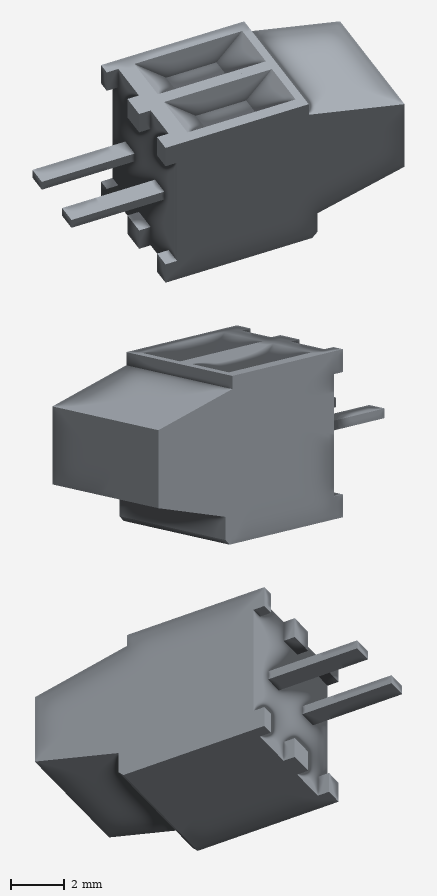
import cadquery as cq

total_width = 5.53
total_length = 13.4
total_height = 6.5
pole_pitch = 2.55
plate_thickness = 0.24

pin_length = 3.89
foot_depth = 0.48
foot_height = 0.88
nose_top_length = 4.0
nose_base_length = 3.65
top_shoulder_drop = 0.51
nose_tip_drop = 1.41
base_shoulder_rise = 1.11
nose_tip_rise = 2.08
base_chamfer = 0.21

outer_foot_width = 0.5
inner_foot_width = 0.28
slim_foot_width = plate_thickness
pad_width = plate_thickness

pocket_width = 2.02
pocket_length = 4.52
pocket_floor_width = 1.5
pocket_floor_length = 2.1
pocket_depth = 0.9
pocket_nose_gap = 4.33

pin_width = 0.8
pin_thickness = 0.38
first_pole_x = 1.5

pin_face_y = pin_length
foot_face_y = pin_face_y - foot_depth
pocket_center_y = total_length - pocket_nose_gap - pocket_length / 2
pole_centers = [first_pole_x, first_pole_x + pole_pitch]
wall_start = pole_pitch
second_housing_start = wall_start + plate_thickness
end_plate_start = total_width - plate_thickness


def profile_slab(x_start, x_end):
    """Slab with the full side profile, with a foot at the top and bottom of the pin end."""
    top_shoulder_y = total_length - nose_top_length
    base_shoulder_y = total_length - nose_base_length
    foot_top_z = total_height - foot_height
    profile = [
        (foot_face_y, 0),
        (base_shoulder_y - base_chamfer, 0),
        (base_shoulder_y, base_chamfer),
        (base_shoulder_y, base_shoulder_rise),
        (total_length, nose_tip_rise),
        (total_length, total_height - nose_tip_drop),
        (top_shoulder_y, total_height - top_shoulder_drop),
        (top_shoulder_y, total_height),
        (foot_face_y, total_height),
        (foot_face_y, foot_top_z),
        (pin_face_y, foot_top_z),
        (pin_face_y, foot_height),
        (foot_face_y, foot_height),
    ]
    return (
        cq.Workplane("YZ", origin=(x_start, 0, 0))
        .polyline(profile)
        .close()
        .extrude(x_end - x_start)
    )


def screw_pocket(center_x):
    """Tapered pocket volume, widest at the top face."""
    return (
        cq.Workplane("XY", origin=(center_x, pocket_center_y, total_height))
        .rect(pocket_width, pocket_length)
        .workplane(offset=-pocket_depth)
        .rect(pocket_floor_width, pocket_floor_length)
        .loft(ruled=True)
    )


def foot_gap(x_start, x_end):
    """Space between the left and right feet, over the full height."""
    return cq.Workplane("XY").box(
        x_end - x_start, foot_depth, total_height, centered=False
    ).translate((x_start, foot_face_y, 0))


def make_housing(x_start, x_end, left_foot_width, right_foot_width, pole_x):
    """Housing of one pole: profile slab with four feet and a screw pocket."""
    gap = foot_gap(x_start + left_foot_width, x_end - right_foot_width)
    return profile_slab(x_start, x_end).cut(gap).cut(screw_pocket(pole_x))


def make_pad(x_start, z_start):
    """Block on the pin face that widens one slim foot."""
    return cq.Workplane("XY").box(
        pad_width, foot_depth, foot_height, centered=False
    ).translate((x_start, foot_face_y, z_start))


def make_pin(pole_x):
    """Flat pin standing out of the pin face at mid height."""
    return cq.Workplane("XY").box(
        pin_width, pin_length, pin_thickness
    ).translate((pole_x, pin_face_y - pin_length / 2, total_height / 2))


dividing_wall = profile_slab(wall_start, second_housing_start)
first_housing = make_housing(
    0, wall_start, outer_foot_width, inner_foot_width, pole_centers[0]
).union(dividing_wall, clean=False)

second_housing = make_housing(
    second_housing_start, end_plate_start, slim_foot_width, slim_foot_width, pole_centers[1]
)

end_plate = profile_slab(end_plate_start, total_width)

left_pad_x = second_housing_start + slim_foot_width
right_pad_x = end_plate_start - slim_foot_width - pad_width
foot_pads = [
    make_pad(x_start, z_start)
    for x_start in (left_pad_x, right_pad_x)
    for z_start in (0, total_height - foot_height)
]

pins = [make_pin(pole_x) for pole_x in pole_centers]

result = cq.Compound.makeCompound(
    [
        first_housing.solids().val(),
        second_housing.solids().val(),
        end_plate.val(),
        *[pad.val() for pad in foot_pads],
        *[pin.val() for pin in pins],
    ]
)